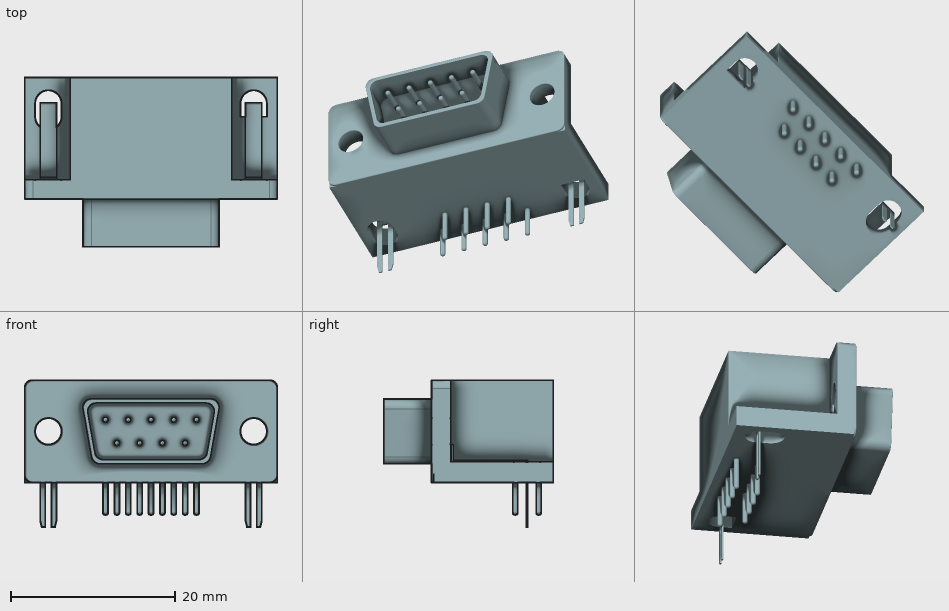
import cadquery as cq
import math

FLANGE_WIDTH = 30.8
FLANGE_HEIGHT = 12.5
BODY_DEPTH = 14.84
FLANGE_DEPTH = 2.34
PLATE_THICKNESS = 0.3
FLANGE_CORNER_RADIUS = 1.0
METAL_EDGE_RADIUS = 0.12

HOUSING_WIDTH = 19.7
LEDGE_HEIGHT = 2.54

AXIS_HEIGHT = FLANGE_HEIGHT / 2
BOARD_AXIS_Y = 11.64
SCREW_SPACING = 25.0
SCREW_HOLE_DIAMETER = 3.2

SHELL_LENGTH = 5.8
SHELL_HEIGHT = 7.9
SHELL_WIDTH = 16.6
SHELL_WALL = 0.5
SHELL_CORNER_RADIUS = 1.03
SHELL_SIDE_ANGLE = math.radians(10)
SHELL_MID_HALF_WIDTH = (
    SHELL_WIDTH / 2
    - SHELL_CORNER_RADIUS
    + SHELL_CORNER_RADIUS / math.cos(SHELL_SIDE_ANGLE)
    - (SHELL_HEIGHT / 2 - SHELL_CORNER_RADIUS) * math.tan(SHELL_SIDE_ANGLE)
)
SHELL_CAVITY_DEPTH = 3.7
SHELL_EDGE_RADIUS = 0.07

PIN_DIAMETER = 0.64
PIN_TIP_RADIUS = 0.3
PIN_PITCH = 2.77
PIN_ROW_SPACING = 2.84
PIN_COUNT_UPPER = 5
PIN_COUNT_LOWER = 4
PIN_REACH = 5.62
TAIL_LENGTH = 3.94

LOCK_WIDTH = 2.03
LOCK_THICKNESS = 0.2
LOCK_FLANGE_GAP = 0.1
LOCK_UPRIGHT_TOP = 4.6
LOCK_LEG_LENGTH = 5.4
LOCK_BEND_RADIUS = 0.1
LOCK_SLIT_WIDTH = 0.75
LOCK_WEB_HEIGHT = 0.65
LOCK_SLIT_TOP = LEDGE_HEIGHT - LOCK_WEB_HEIGHT
LOCK_TIP_TAPER_WIDTH = 0.2
LOCK_TIP_TAPER_HEIGHT = 0.8
SLOT_WIDTH = 3.2
SLOT_CENTER_DISTANCE = 1.6


def box(x_min, x_max, y_min, y_max, z_min, z_max):
    """Axis-aligned box given by its limits."""
    size = (x_max - x_min, y_max - y_min, z_max - z_min)
    return cq.Workplane("XY").box(*size, centered=False).translate((x_min, y_min, z_min))


def flange_block(y_front, y_back):
    """Full flange outline between two depths."""
    half_width = FLANGE_WIDTH / 2
    return box(-half_width, half_width, y_front, y_back, 0, FLANGE_HEIGHT)


def make_housing():
    """Plastic flange, central housing and the two low side ledges."""
    flange = flange_block(PLATE_THICKNESS, FLANGE_DEPTH)
    flange = flange.edges("|Y and >Z").fillet(FLANGE_CORNER_RADIUS)
    half_housing = HOUSING_WIDTH / 2
    half_flange = FLANGE_WIDTH / 2
    core = box(-half_housing, half_housing, PLATE_THICKNESS, BODY_DEPTH, 0, FLANGE_HEIGHT)
    ledges = box(-half_flange, half_flange, PLATE_THICKNESS, BODY_DEPTH, 0, LEDGE_HEIGHT)
    return flange.union(core).union(ledges)


def make_plate():
    """Metal face plate with all four corners rounded and a softened front edge."""
    plate = flange_block(0, PLATE_THICKNESS).edges("|Y").fillet(FLANGE_CORNER_RADIUS)
    plate = plate.cut(screw_holes())
    return plate.faces("<Y").edges().fillet(METAL_EDGE_RADIUS)


def screw_holes():
    """Cutters for the two screw holes through the flange."""
    centers = [(-SCREW_SPACING / 2, AXIS_HEIGHT), (SCREW_SPACING / 2, AXIS_HEIGHT)]
    holes = cq.Workplane("XZ").pushPoints(centers).circle(SCREW_HOLE_DIAMETER / 2)
    return holes.extrude(-FLANGE_DEPTH)


def d_prism(inset, depth):
    """D-shaped prism running back from the shell mouth, its outline moved in by inset."""
    half_height = SHELL_HEIGHT / 2 - inset
    mid_half_width = SHELL_MID_HALF_WIDTH - inset / math.cos(SHELL_SIDE_ANGLE)
    side_shift = half_height * math.tan(SHELL_SIDE_ANGLE)
    top = mid_half_width + side_shift
    bottom = mid_half_width - side_shift
    corners = [(-top, half_height), (top, half_height), (bottom, -half_height), (-bottom, -half_height)]
    prism = cq.Workplane("XZ").polyline(corners).close().extrude(depth)
    prism = prism.edges("|Y").fillet(SHELL_CORNER_RADIUS)
    return prism.translate((0, depth - SHELL_LENGTH, AXIS_HEIGHT))


def make_shell():
    """D-shaped shell, open toward -Y, with the contact insert as its floor."""
    shell = d_prism(0, SHELL_LENGTH).faces("<Y").edges().fillet(SHELL_EDGE_RADIUS)
    cavity = d_prism(SHELL_WALL, SHELL_CAVITY_DEPTH)
    return shell.cut(cavity)


def row_positions(count):
    """X positions of one centred contact row."""
    return [(index - (count - 1) / 2) * PIN_PITCH for index in range(count)]


def make_pins():
    """Mating pins inside the shell and the solder tails under the body."""
    pin_root = PLATE_THICKNESS
    pin = cq.Workplane("XZ").circle(PIN_DIAMETER / 2).extrude(PIN_REACH + pin_root)
    pin = pin.faces("<Y").edges().fillet(PIN_TIP_RADIUS)
    tail_root = LEDGE_HEIGHT
    tail = cq.Workplane("XY").circle(PIN_DIAMETER / 2).extrude(-TAIL_LENGTH - tail_root)
    tail = tail.faces("<Z").edges().fillet(PIN_TIP_RADIUS)

    pins = cq.Workplane("XY")
    for count, offset in ((PIN_COUNT_UPPER, PIN_ROW_SPACING / 2), (PIN_COUNT_LOWER, -PIN_ROW_SPACING / 2)):
        for x in row_positions(count):
            pins = pins.add(pin.translate((x, pin_root, AXIS_HEIGHT + offset)))
            pins = pins.add(tail.translate((x, BOARD_AXIS_Y + offset, tail_root)))
    return pins.combine()


def ledge_slot(x, front_end_is_round):
    """Cutter for one ledge slot: round at the rear, round or square at the front end."""
    radius = SLOT_WIDTH / 2
    front_y = BOARD_AXIS_Y - SLOT_CENTER_DISTANCE
    slot = box(x - radius, x + radius, front_y, BOARD_AXIS_Y, 0, LEDGE_HEIGHT)
    round_ends = [(x, BOARD_AXIS_Y)]
    if front_end_is_round:
        round_ends.append((x, front_y))
    ends = cq.Workplane("XY").pushPoints(round_ends).circle(radius).extrude(LEDGE_HEIGHT)
    return slot.union(ends)


def make_lock():
    """Bent sheet strip: upright just behind the flange, flat on the ledge, forked leg below."""
    half = LOCK_WIDTH / 2
    leg_front = BOARD_AXIS_Y - LOCK_THICKNESS / 2
    leg_back = BOARD_AXIS_Y + LOCK_THICKNESS / 2
    flat_top = LEDGE_HEIGHT + LOCK_THICKNESS
    upright_front = FLANGE_DEPTH + LOCK_FLANGE_GAP
    upright_back = upright_front + LOCK_THICKNESS
    upright = box(-half, half, upright_front, upright_back, LEDGE_HEIGHT, LOCK_UPRIGHT_TOP)
    flat = box(-half, half, upright_front, leg_back, LEDGE_HEIGHT, flat_top)
    leg = box(-half, half, leg_front, leg_back, -LOCK_LEG_LENGTH, flat_top)
    leg = leg.edges("|Y and <Z").chamfer(LOCK_TIP_TAPER_HEIGHT, LOCK_TIP_TAPER_WIDTH)
    strip = flat.union(leg).edges("|X and >Y and >Z").fillet(LOCK_BEND_RADIUS)
    half_slit = LOCK_SLIT_WIDTH / 2
    slit = box(-half_slit, half_slit, leg_front, leg_back, -LOCK_LEG_LENGTH, LOCK_SLIT_TOP)
    return strip.union(upright).cut(slit)


def make_connector():
    """All features joined into one solid."""
    half_spacing = SCREW_SPACING / 2
    connector = make_housing().cut(screw_holes())
    connector = connector.cut(ledge_slot(-half_spacing, front_end_is_round=True))
    connector = connector.cut(ledge_slot(half_spacing, front_end_is_round=False))
    connector = connector.union(make_plate()).union(make_shell()).union(make_pins())
    for x in (-half_spacing, half_spacing):
        connector = connector.union(make_lock().translate((x, 0, 0)))
    return connector


result = make_connector()